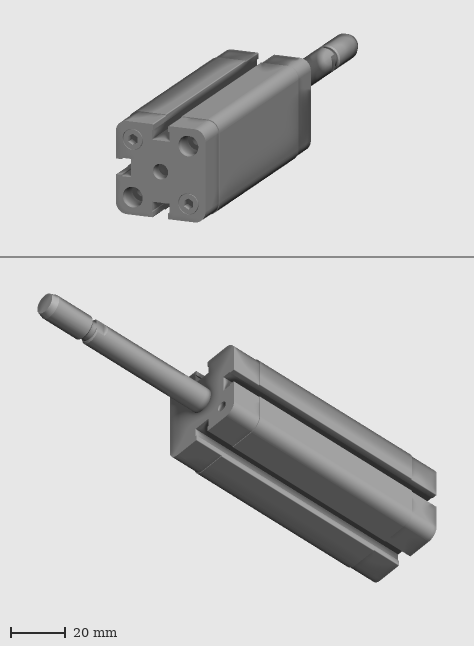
import cadquery as cq
import math

total_length = 174.5
front_y = -total_length / 2
cap_length = 12.2
barrel_length = 73.8
body_length = barrel_length + 2 * cap_length
barrel_y = front_y + cap_length
rear_cap_y = barrel_y + barrel_length
rod_y = rear_cap_y + cap_length

barrel_width = 36.1
barrel_corner_radius = 4.7
cap_inset = 0.3
cap_width = barrel_width - 2 * cap_inset
cap_corner_radius = barrel_corner_radius - cap_inset

slot_mouth_width = 6.0
slot_channel_width = 7.0
slot_depth = 6.3
slot_lip = 2.6
slot_mouth_radius = 0.3
slot_angles = (0, -90, 180)

hole_offset = 11.0
counterbore_diameter = 7.9
counterbore_depth = 8.7
through_diameter = 4.2
screw_pocket_diameter = 8.0
screw_head_diameter = 7.5
screw_gap_depth = 0.5
socket_corner_diameter = 4.2
socket_depth = 3.5
center_hole_diameter = 6.0
center_hole_depth = 5.2

rod_diameter = 10.0
thread_length = 19.4
tip_chamfer_length = 2.6
tip_diameter = 8.2
groove_diameter = 8.0
groove_end = 21.6
edge_chamfer = 0.5
flat_width = 8.0
flat_length = 3.7


def along_y(sketch_plane_y):
    """XZ sketch plane at the given Y whose extrusions run toward +Y; its local X is -X."""
    return cq.Workplane(cq.Plane((0, sketch_plane_y, 0), xDir=(-1, 0, 0), normal=(0, 1, 0)))


def rounded_bar(start_y, length, width, radius):
    return along_y(start_y).rect(width, width).extrude(length).edges("|Y").fillet(radius)


def round_bar(x, z, start_y, length, diameter):
    return along_y(start_y).center(-x, z).circle(diameter / 2).extrude(length)


def mouth_cutter(surface, start_y, length):
    """Slot mouth through the face at height surface, with rounded outer edges."""
    half = slot_mouth_width / 2
    outer_half = half + slot_mouth_radius
    floor = barrel_width / 2 - slot_depth
    arc_start = surface - slot_mouth_radius
    arc_middle_x = outer_half - slot_mouth_radius * math.sin(math.pi / 4)
    arc_middle_z = arc_start + slot_mouth_radius * math.sin(math.pi / 4)
    outline = (
        along_y(start_y)
        .moveTo(-half, floor)
        .lineTo(half, floor)
        .lineTo(half, arc_start)
        .threePointArc((arc_middle_x, arc_middle_z), (outer_half, surface))
        .lineTo(-outer_half, surface)
        .threePointArc((-arc_middle_x, arc_middle_z), (-half, arc_start))
        .close()
    )
    return outline.extrude(length)


def slot(angle):
    """Full-length slot in the +Z side, turned about Y to another side."""
    surface = barrel_width / 2
    channel_height = slot_depth - slot_lip
    channel_middle = surface - slot_depth + channel_height / 2
    channel = along_y(front_y).center(0, channel_middle).rect(slot_channel_width, channel_height)
    cutter = channel.extrude(body_length)
    cutter = cutter.union(mouth_cutter(surface, barrel_y, barrel_length))
    for cap_y in (front_y, rear_cap_y):
        cutter = cutter.union(mouth_cutter(cap_width / 2, cap_y, cap_length))
    return cutter.rotate((0, 0, 0), (0, 1, 0), angle)


def screw_gap(x, z):
    """Thin ring between a flush screw head and its pocket."""
    pocket = round_bar(x, z, front_y, screw_gap_depth, screw_pocket_diameter)
    return pocket.cut(round_bar(x, z, front_y, screw_gap_depth, screw_head_diameter))


def hex_socket(x, z):
    """Hexagon socket with corners pointing up and down."""
    hexagon = along_y(front_y).center(-x, z).transformed(rotate=(0, 0, 90)).polygon(6, socket_corner_diameter)
    return hexagon.extrude(socket_depth)


def piston_rod():
    tip = total_length / 2
    thread_end = tip - thread_length
    shoulder = tip - groove_end
    profile = (
        cq.Workplane("XY")
        .moveTo(0, rod_y)
        .lineTo(rod_diameter / 2, rod_y)
        .lineTo(rod_diameter / 2, shoulder - edge_chamfer)
        .lineTo(rod_diameter / 2 - edge_chamfer, shoulder)
        .lineTo(groove_diameter / 2, shoulder)
        .lineTo(groove_diameter / 2, thread_end)
        .lineTo(rod_diameter / 2 - edge_chamfer, thread_end)
        .lineTo(rod_diameter / 2, thread_end + edge_chamfer)
        .lineTo(rod_diameter / 2, tip - tip_chamfer_length)
        .lineTo(tip_diameter / 2, tip)
        .lineTo(0, tip)
        .close()
    )
    rod = profile.revolve(360, (0, 0, 0), (0, 1, 0))
    flat_depth = (rod_diameter - flat_width) / 2
    flat = (
        cq.Workplane("XY")
        .moveTo(flat_width / 2, shoulder)
        .lineTo(rod_diameter / 2, shoulder)
        .lineTo(rod_diameter / 2, shoulder - flat_length - flat_depth)
        .lineTo(flat_width / 2, shoulder - flat_length)
        .close()
        .extrude(rod_diameter / 2, both=True)
    )
    return rod.cut(flat).cut(flat.mirror("YZ"))


body = rounded_bar(front_y, body_length, cap_width, cap_corner_radius)
body = body.union(rounded_bar(barrel_y, barrel_length, barrel_width, barrel_corner_radius))

for slot_angle in slot_angles:
    body = body.cut(slot(slot_angle))

for side in (-1, 1):
    x = side * hole_offset
    body = body.cut(round_bar(x, x, front_y, body_length, through_diameter))
    body = body.cut(round_bar(x, x, front_y, counterbore_depth, counterbore_diameter))
    body = body.cut(screw_gap(x, -x))
    body = body.cut(hex_socket(x, -x))

body = body.cut(round_bar(0, 0, front_y, center_hole_depth, center_hole_diameter))

result = body.union(piston_rod())